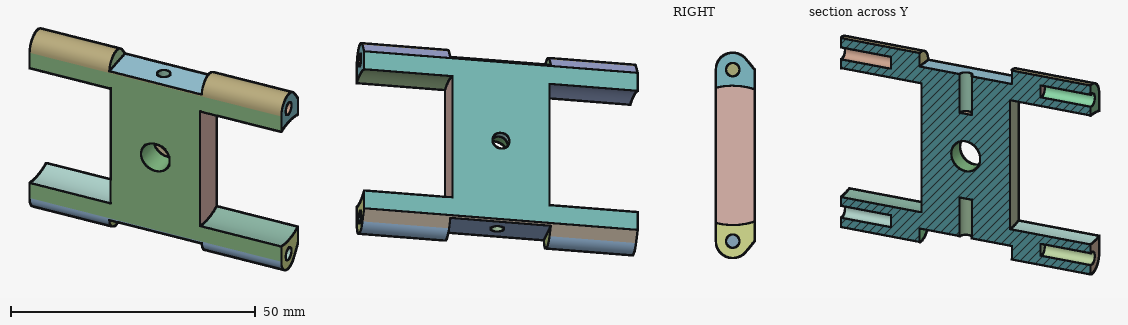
import cadquery as cq
import math

length = 57.0
thickness = 8.0
height = 42.0

rail_radius = 3.5
saddle_radius = 14.25
end_hole_diameter = 2.75
end_hole_depth = 11.4

web_width = 20.25
flat_width = 20.9
flat_depth = 3.0

bolt_diameter = 3.5
counterbore_diameter = 6.5
counterbore_depth = 6.0
cross_hole_diameter = 2.75
cross_hole_depth = 8.55

front_y = -rail_radius
back_y = front_y + thickness
middle_y = (front_y + back_y) / 2
rail_z = height / 2 - rail_radius
flat_z = height / 2 - flat_depth

tangent_angle = math.acos(rail_radius / back_y)
tangent_y = rail_radius * math.cos(tangent_angle)
tangent_rise = rail_radius * math.sin(tangent_angle)
mid_angle = (tangent_angle + math.pi) / 2
mid_y = rail_radius * math.cos(mid_angle)
mid_rise = rail_radius * math.sin(mid_angle)


def make_body():
    """Solid bar with the rounded end profile, extruded along X."""
    return (
        cq.Workplane("YZ")
        .workplane(offset=-length / 2)
        .moveTo(front_y, -rail_z)
        .lineTo(front_y, rail_z)
        .threePointArc((mid_y, rail_z + mid_rise), (tangent_y, rail_z + tangent_rise))
        .lineTo(back_y, rail_z)
        .lineTo(back_y, -rail_z)
        .lineTo(tangent_y, -rail_z - tangent_rise)
        .threePointArc((mid_y, -rail_z - mid_rise), (front_y, -rail_z))
        .close()
        .extrude(length)
    )


def make_window(side):
    """Gap between the rails on one side, leaving cylindrical saddles."""
    window_length = (length - web_width) / 2
    return (
        cq.Workplane("YZ")
        .circle(saddle_radius)
        .extrude(side * window_length)
        .translate((side * web_width / 2, 0, 0))
    )


def make_flat_cutter(side):
    """Block that flattens the middle of one rail."""
    return cq.Workplane("XY").box(flat_width, 2 * thickness, flat_depth).translate(
        (0, middle_y, side * (flat_z + flat_depth / 2))
    )


def make_end_hole(x_side, z_side):
    """Blind hole along a rail axis, from one rail end."""
    return (
        cq.Workplane("YZ")
        .workplane(offset=x_side * length / 2)
        .center(0, z_side * rail_z)
        .circle(end_hole_diameter / 2)
        .extrude(-x_side * end_hole_depth)
    )


def make_cross_hole(side):
    """Blind hole into the web from the middle of one flat."""
    return (
        cq.Workplane("XY")
        .workplane(offset=side * flat_z)
        .center(0, middle_y)
        .circle(cross_hole_diameter / 2)
        .extrude(-side * cross_hole_depth)
    )


def make_bolt_hole():
    """Through hole along Y, counterbored from the front face."""
    front = cq.Workplane("XZ", origin=(0, front_y, 0))
    through = front.circle(bolt_diameter / 2).extrude(-thickness)
    counterbore = front.circle(counterbore_diameter / 2).extrude(-counterbore_depth)
    return through.union(counterbore)


result = make_body().cut(make_bolt_hole())
for side in (-1, 1):
    result = result.cut(make_window(side))
    result = result.cut(make_flat_cutter(side))
    result = result.cut(make_cross_hole(side))
    for x_side in (-1, 1):
        result = result.cut(make_end_hole(x_side, side))

result = result.translate((0, -middle_y, 0))